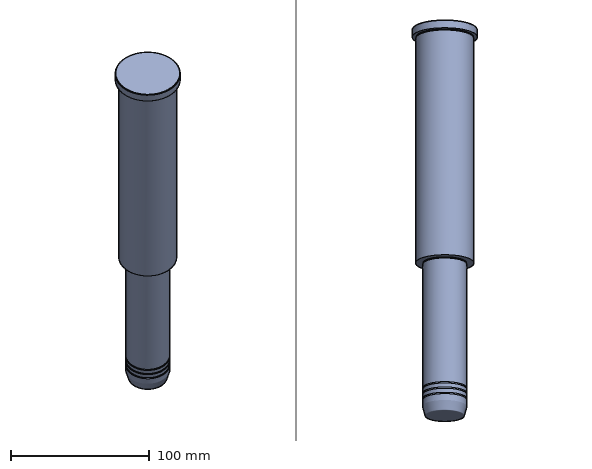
import cadquery as cq
import math

total_length = 291.0
head_diameter = 47.0
head_height = 6.0
head_chamfer = 0.5
body_diameter = 42.0
body_length = 170.0
shank_diameter = 32.0

lead_height = 7.0
lead_half_angle = 15.0
tip_round = 0.5

relief_width = 1.0
relief_depth = 0.25

groove_count = 3
groove_pitch = 4.0
groove_width = 1.0
groove_depth = 0.25
first_groove_height = 12.5

shank_radius = shank_diameter / 2
body_radius = body_diameter / 2
head_radius = head_diameter / 2
head_bottom = total_length - head_height
body_bottom = head_bottom - body_length
lead_slope = math.tan(math.radians(lead_half_angle))
tip_radius = shank_radius - lead_height * lead_slope


def make_stepped_pin():
    """Revolve the head, body, shank and tapered lead-in about Z."""
    return (
        cq.Workplane("XZ")
        .moveTo(0, 0)
        .lineTo(tip_radius, 0)
        .lineTo(shank_radius, lead_height)
        .lineTo(shank_radius, body_bottom)
        .lineTo(body_radius, body_bottom)
        .lineTo(body_radius, head_bottom)
        .lineTo(head_radius, head_bottom)
        .lineTo(head_radius, total_length - head_chamfer)
        .lineTo(head_radius - head_chamfer, total_length)
        .lineTo(0, total_length)
        .close()
        .revolve(360, (0, 0, 0), (0, 1, 0))
        .faces("<Z")
        .edges()
        .fillet(tip_round)
    )


def make_relief_cutter(outer_radius, shoulder_height):
    """Ring just under a shoulder; its lower wall slopes at 45 degrees."""
    floor_radius = outer_radius - relief_depth
    relief_bottom = shoulder_height - relief_width
    return (
        cq.Workplane("XZ")
        .moveTo(outer_radius, relief_bottom)
        .lineTo(floor_radius, relief_bottom + relief_depth)
        .lineTo(floor_radius, shoulder_height)
        .lineTo(outer_radius, shoulder_height)
        .close()
        .revolve(360, (0, 0, 0), (0, 1, 0))
    )


def make_groove_cutter(center_height):
    """Ring with a rounded inner side that cuts one groove into the shank."""
    half_width = groove_width / 2
    return (
        cq.Workplane("XZ")
        .moveTo(shank_radius, center_height - half_width)
        .threePointArc(
            (shank_radius - groove_depth, center_height),
            (shank_radius, center_height + half_width),
        )
        .close()
        .revolve(360, (0, 0, 0), (0, 1, 0))
    )


result = make_stepped_pin()
result = result.cut(make_relief_cutter(body_radius, head_bottom))
result = result.cut(make_relief_cutter(shank_radius, body_bottom))
for index in range(groove_count):
    result = result.cut(make_groove_cutter(first_groove_height + index * groove_pitch))